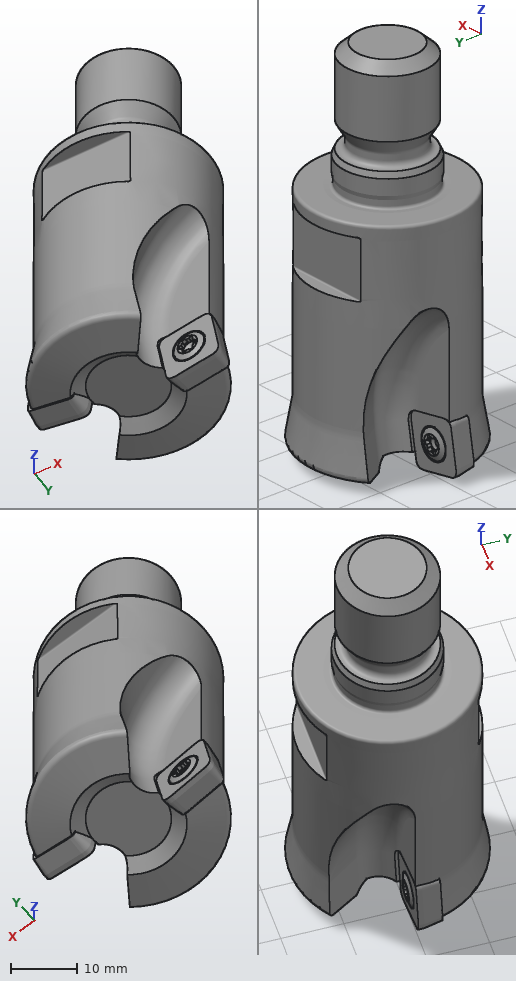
import cadquery as cq
import math


INSERT_ANGLES = (0, 180)

TOTAL_HEIGHT = 69.0
STUD_RADIUS = 16.0 / 2
STUD_TIP_RADIUS = 5.9
STUD_CHAMFER_Z = 67.15
STUD_BOTTOM_Z = 56.1
NECK_RADIUS = 13.0 / 2
NECK_TOP_Z = 53.2
NECK_TOP_FILLET = 1.2
NECK_TAPER = math.radians(34)
NECK_BOTTOM_Z = 52.15
NECK_FILLET = 1.05
COLLAR_RADIUS = 17.0 / 2
COLLAR_CHAMFER_Z = 50.1
COLLAR_BOTTOM_Z = 47.2
RELIEF_RADIUS = 16.6 / 2
RELIEF_TOP_Z = 46.45
RELIEF_FILLET = 0.5

SHOULDER_Z = 45.0
SHOULDER_FILLET = 0.55
SEAT_RADIUS = 9.7
SEAT_DEPTH = 0.1
BARREL_RADIUS = 28.8 / 2
WAIST_RADIUS = 14.35
WAIST_TOP_Z = 42.45
WAIST_BOTTOM_Z = 27.75

RAKE = math.radians(10)
FLARE_TOP_Z = 10.1
FLARE_BLEND = 9.0
RIM_RADIUS = 15.5
RIM_FILLET = 1.0
RECESS_MOUTH_RADIUS = 8.8
RECESS_TOP_RADIUS = 6.5
RECESS_TOP_Z = 2.4

FLAT_OFFSET = 12.0
FLAT_BOTTOM_Z = 31.95
FLAT_TOP_Z = 42.7
FLAT_FILLET = 0.3

FLUTE_AXIS_X = 25.5
FLUTE_AXIS_Z = 11.4
FLUTE_FLOOR_RADIUS = 3.9
FLUTE_FLOOR_X = 7.2
FLUTE_WALL_ANGLE = math.radians(52.7)
FLUTE_OUTER_X = 23.45
FLUTE_TURN = 80.0
FLUTE_END_LENGTH = 11.05

INSERT_X = 10.75
INSERT_HALF_WIDTH = 9.5 / 2
WIPER_OFFSET = 5.25
INSERT_Z = WIPER_OFFSET
INSERT_CORNER = 1.2
INSERT_THICKNESS = 4.0
INSERT_LAND = 1.0
INSERT_RELIEF = 10.0
POCKET_CLEARANCE = 0.7

HEAD_RADIUS = 5.45 / 2
HEAD_TOP_RADIUS = 3.5 / 2
HEAD_HEIGHT = 0.4
HEAD_GROOVE_RADIUS = 2.9
HEAD_GROOVE_DEPTH = 0.35
SOCKET_RADIUS = 1.2
SOCKET_DEPTH = 0.8
SOCKET_CONE_DEPTH = 0.55
SOCKET_LOBES = 6
SOCKET_LOBE_RADIUS = 0.35


def at_cutting_positions(shape):
    """Copies of a shape at each insert position around the tool axis."""
    return [shape.rotate((0, 0, 0), (0, 0, 1), angle) for angle in INSERT_ANGLES]


def turned_blank():
    """Holder as one revolved profile, without flutes, flats or pockets."""
    sin_rake = math.sin(RAKE)
    cos_rake = math.cos(RAKE)
    sin_half = math.sin(RAKE / 2)
    cos_half = math.cos(RAKE / 2)
    diagonal = math.sqrt(0.5)

    flare_radius = BARREL_RADIUS + FLARE_BLEND * (1 - cos_rake)
    flare_z = FLARE_TOP_Z - FLARE_BLEND * sin_rake
    blend_middle = (
        BARREL_RADIUS + FLARE_BLEND * (1 - cos_half),
        FLARE_TOP_Z - FLARE_BLEND * sin_half,
    )
    rim_centre_radius = RIM_RADIUS - RIM_FILLET
    rim_top_radius = rim_centre_radius + RIM_FILLET * cos_rake
    rim_top_z = flare_z - (rim_top_radius - flare_radius) / math.tan(RAKE)
    rim_centre_z = rim_top_z - RIM_FILLET * sin_rake
    rim_middle_angle = RAKE - math.pi / 4
    rim_middle = (
        rim_centre_radius + RIM_FILLET * math.cos(rim_middle_angle),
        rim_centre_z + RIM_FILLET * math.sin(rim_middle_angle),
    )
    rim_end = (rim_centre_radius + RIM_FILLET * sin_rake, rim_centre_z - RIM_FILLET * cos_rake)
    mouth_z = rim_end[1] - (rim_end[0] - RECESS_MOUTH_RADIUS) * math.tan(RAKE)

    neck_taper_end = (
        NECK_RADIUS + NECK_TOP_FILLET * (1 - math.cos(NECK_TAPER)),
        NECK_TOP_Z + NECK_TOP_FILLET * math.sin(NECK_TAPER),
    )
    neck_top_middle = (
        NECK_RADIUS + NECK_TOP_FILLET * (1 - math.cos(NECK_TAPER / 2)),
        NECK_TOP_Z + NECK_TOP_FILLET * math.sin(NECK_TAPER / 2),
    )
    neck_fillet_middle = (
        NECK_RADIUS + NECK_FILLET * (1 - diagonal),
        NECK_BOTTOM_Z - NECK_FILLET * diagonal,
    )
    collar_top_z = NECK_BOTTOM_Z - NECK_FILLET
    seat_z = SHOULDER_Z - SEAT_DEPTH
    relief_fillet_middle = (
        RELIEF_RADIUS + RELIEF_FILLET * (1 - diagonal),
        seat_z + RELIEF_FILLET * (1 - diagonal),
    )
    shoulder_middle = (
        BARREL_RADIUS - SHOULDER_FILLET * (1 - diagonal),
        SHOULDER_Z - SHOULDER_FILLET * (1 - diagonal),
    )

    profile = (
        cq.Workplane("XZ")
        .moveTo(0, TOTAL_HEIGHT)
        .lineTo(STUD_TIP_RADIUS, TOTAL_HEIGHT)
        .lineTo(STUD_RADIUS, STUD_CHAMFER_Z)
        .lineTo(STUD_RADIUS, STUD_BOTTOM_Z)
        .lineTo(*neck_taper_end)
        .threePointArc(neck_top_middle, (NECK_RADIUS, NECK_TOP_Z))
        .lineTo(NECK_RADIUS, NECK_BOTTOM_Z)
        .threePointArc(neck_fillet_middle, (NECK_RADIUS + NECK_FILLET, collar_top_z))
        .lineTo(STUD_RADIUS, collar_top_z)
        .lineTo(COLLAR_RADIUS, COLLAR_CHAMFER_Z)
        .lineTo(COLLAR_RADIUS, COLLAR_BOTTOM_Z)
        .lineTo(RELIEF_RADIUS, RELIEF_TOP_Z)
        .lineTo(RELIEF_RADIUS, seat_z + RELIEF_FILLET)
        .threePointArc(relief_fillet_middle, (RELIEF_RADIUS + RELIEF_FILLET, seat_z))
        .lineTo(SEAT_RADIUS, SHOULDER_Z)
        .lineTo(BARREL_RADIUS - SHOULDER_FILLET, SHOULDER_Z)
        .threePointArc(shoulder_middle, (BARREL_RADIUS, SHOULDER_Z - SHOULDER_FILLET))
        .lineTo(WAIST_RADIUS, WAIST_TOP_Z)
        .lineTo(BARREL_RADIUS, WAIST_BOTTOM_Z)
        .lineTo(BARREL_RADIUS, FLARE_TOP_Z)
        .threePointArc(blend_middle, (flare_radius, flare_z))
        .lineTo(rim_top_radius, rim_top_z)
        .threePointArc(rim_middle, rim_end)
        .lineTo(RECESS_MOUTH_RADIUS, mouth_z)
        .lineTo(RECESS_TOP_RADIUS, RECESS_TOP_Z)
        .lineTo(0, RECESS_TOP_Z)
        .close()
    )
    return profile.revolve(360, (0, 0, 0), (0, 1, 0))


def spanner_flat_cutter():
    """Block that leaves the flat on the -Y side, with rounded inner edges."""
    depth = BARREL_RADIUS
    height = FLAT_TOP_Z - FLAT_BOTTOM_Z
    block = cq.Workplane("XY").box(2 * BARREL_RADIUS, depth, height)
    block = block.faces(">Y").edges("|X").fillet(FLAT_FILLET)
    return block.translate((0, -FLAT_OFFSET - depth / 2, FLAT_BOTTOM_Z + height / 2))


def flute_section():
    """Flute cross-section at the level of its turning axis; the insert wall lies along Y = 0."""
    sin_wall = math.sin(FLUTE_WALL_ANGLE)
    cos_wall = math.cos(FLUTE_WALL_ANGLE)
    wall_x = FLUTE_FLOOR_X - FLUTE_FLOOR_RADIUS * sin_wall
    wall_y = -FLUTE_FLOOR_RADIUS * (1 + cos_wall)
    wall_end_y = wall_y - (FLUTE_OUTER_X - wall_x) * math.tan(FLUTE_WALL_ANGLE)
    return (
        cq.Workplane("XY", origin=(0, 0, FLUTE_AXIS_Z))
        .moveTo(FLUTE_OUTER_X, 0)
        .lineTo(FLUTE_FLOOR_X, 0)
        .threePointArc((FLUTE_FLOOR_X - FLUTE_FLOOR_RADIUS, -FLUTE_FLOOR_RADIUS), (wall_x, wall_y))
        .lineTo(FLUTE_OUTER_X, wall_end_y)
        .close()
    )


def tilt_to_rake(shape):
    """Swing a flute cutter about the turning axis so that its end follows the flare."""
    pivot_start = (FLUTE_AXIS_X, 0, FLUTE_AXIS_Z)
    pivot_end = (FLUTE_AXIS_X, 1, FLUTE_AXIS_Z)
    return shape.rotate(pivot_start, pivot_end, -math.degrees(RAKE))


def flute_run_out_cutter():
    """Curved upper part of the flute."""
    turn = FLUTE_TURN + math.degrees(RAKE)
    return tilt_to_rake(flute_section().revolve(turn, (FLUTE_AXIS_X, 0, 0), (FLUTE_AXIS_X, 1, 0)))


def flute_end_cutter():
    """Straight lower part of the flute, tangent to the curved part."""
    return tilt_to_rake(flute_section().extrude(-FLUTE_END_LENGTH))


def insert_prism(depth, taper=0.0):
    """Square insert outline extruded towards +Y, lying flat on Y = 0 around the insert centre."""
    plane = cq.Plane(origin=(INSERT_X, 0, INSERT_Z), xDir=(-1, 0, 0), normal=(0, 1, 0))
    square = cq.Sketch().rect(2 * INSERT_HALF_WIDTH, 2 * INSERT_HALF_WIDTH, angle=math.degrees(-RAKE))
    wipers = cq.Sketch().rect(2 * WIPER_OFFSET, 2 * WIPER_OFFSET)
    octagon = square * wipers
    outermost = max(vertex.Center().Length for vertex in octagon.vertices().vals())
    sharp_corners = octagon.vertices().filter(lambda vertex: vertex.Center().Length > outermost - 0.1)
    outline = sharp_corners.fillet(INSERT_CORNER)
    return cq.Workplane(plane).placeSketch(outline).extrude(depth, taper=taper)


def insert_blank():
    """Insert without its screw: a straight land behind the face, then a relieved flank."""
    land = insert_prism(INSERT_LAND)
    flank = insert_prism(INSERT_THICKNESS - INSERT_LAND, INSERT_RELIEF).translate((0, INSERT_LAND, 0))
    return land.union(flank)


def screw_axis_plane(y):
    """Plane at the insert centre, facing out of the insert face."""
    return cq.Plane(origin=(INSERT_X, y, INSERT_Z), xDir=(1, 0, 0), normal=(0, -1, 0))


def screw_head():
    """Tapered head standing proud of the insert face from the bottom of its ring groove."""
    shank = cq.Workplane(screw_axis_plane(HEAD_GROOVE_DEPTH)).circle(HEAD_RADIUS).extrude(HEAD_GROOVE_DEPTH)
    taper = math.degrees(math.atan((HEAD_RADIUS - HEAD_TOP_RADIUS) / HEAD_HEIGHT))
    cap = cq.Workplane(screw_axis_plane(0)).circle(HEAD_RADIUS).extrude(HEAD_HEIGHT, taper=taper)
    return shank.union(cap)


def screw_socket():
    """Six-lobed driver socket with a conical bottom."""
    top = screw_axis_plane(-HEAD_HEIGHT)
    core = cq.Workplane(top).circle(SOCKET_RADIUS).extrude(-SOCKET_DEPTH)
    lobes = (
        cq.Workplane(top)
        .polarArray(SOCKET_RADIUS, 0, 360, SOCKET_LOBES)
        .circle(SOCKET_LOBE_RADIUS)
        .extrude(-SOCKET_DEPTH)
    )
    cone = cq.Solid.makeCone(
        SOCKET_RADIUS,
        0,
        SOCKET_CONE_DEPTH,
        pnt=(INSERT_X, SOCKET_DEPTH - HEAD_HEIGHT, INSERT_Z),
        dir=(0, 1, 0),
    )
    return core.union(lobes).union(cq.Workplane(cone))


def make_insert():
    """One insert with its clamping screw, in the +X position."""
    groove = cq.Workplane(screw_axis_plane(0)).circle(HEAD_GROOVE_RADIUS).extrude(-HEAD_GROOVE_DEPTH)
    return insert_blank().cut(groove).union(screw_head()).cut(screw_socket())


def insert_pocket_cutter():
    """Seat that matches the insert, with clearance in front of the insert face."""
    clearance = insert_prism(POCKET_CLEARANCE).translate((0, -POCKET_CLEARANCE, 0))
    return insert_blank().union(clearance)


def make_holder():
    """Holder: the turned blank less its flats, chip flutes and insert pockets."""
    cutter_makers = (spanner_flat_cutter, flute_end_cutter, flute_run_out_cutter, insert_pocket_cutter)
    holder = turned_blank()
    for make_cutter in cutter_makers:
        for cutter in at_cutting_positions(make_cutter()):
            holder = holder.cut(cutter)
    return holder


holder = make_holder()
inserts = at_cutting_positions(make_insert())
result = cq.Compound.makeCompound([holder.val(), *[insert.val() for insert in inserts]])